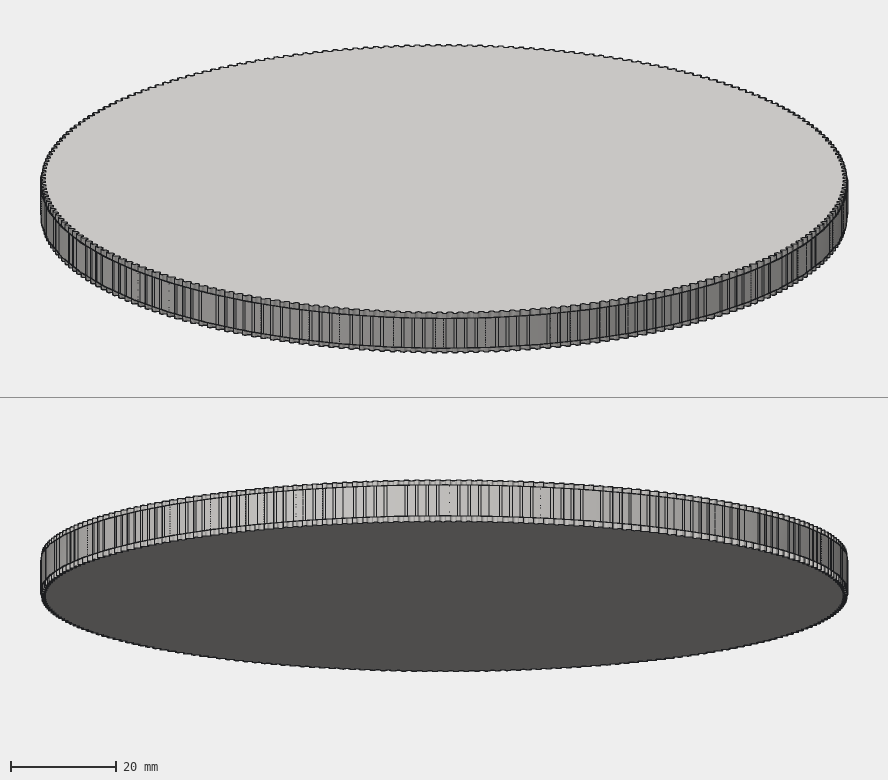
import cadquery as cq
import math

OUTER_DIAMETER = 153.5
HEIGHT = 8.0

BAND_THICKNESS = 0.26
BAND_INSET = 1.0

TOOTH_COUNT = 241
GROOVE_DEPTH = 0.75
FLOOR_RADIUS = 0.55
FLANK_RADIUS = 1.0
TIP_ROUND_RADIUS = 0.15
FIRST_GROOVE_ANGLE = -math.pi / 2

outer_radius = OUTER_DIAMETER / 2
tip_radius = outer_radius - BAND_THICKNESS
pitch_angle = 2 * math.pi / TOOTH_COUNT


def point_on_arc(center, radius, angle):
    return (center[0] + radius * math.cos(angle), center[1] + radius * math.sin(angle))


def half_groove_points():
    """(sideways, depth) points from the tip land to the groove floor: arc ends and arc middles in turn."""
    floor_center = (0, GROOVE_DEPTH - FLOOR_RADIUS)
    flank_center = (-math.sqrt((FLANK_RADIUS - FLOOR_RADIUS) ** 2 - floor_center[1] ** 2), 0)
    floor_angle = math.atan2(floor_center[1], -flank_center[0])
    tip_angle = math.asin(TIP_ROUND_RADIUS / (FLANK_RADIUS + TIP_ROUND_RADIUS))
    tip_center = point_on_arc(flank_center, FLANK_RADIUS + TIP_ROUND_RADIUS, tip_angle)
    tip_start = -math.pi / 2
    tip_end = tip_angle - math.pi
    return [
        point_on_arc(tip_center, TIP_ROUND_RADIUS, tip_start),
        point_on_arc(tip_center, TIP_ROUND_RADIUS, (tip_start + tip_end) / 2),
        point_on_arc(flank_center, FLANK_RADIUS, tip_angle),
        point_on_arc(flank_center, FLANK_RADIUS, (tip_angle + floor_angle) / 2),
        point_on_arc(flank_center, FLANK_RADIUS, floor_angle),
        (0, GROOVE_DEPTH),
    ]


def on_wheel(groove_angle, sideways, depth):
    """Place a groove point on the wheel, measuring its sideways distance along the tip circle."""
    angle = groove_angle + sideways / tip_radius
    return point_on_arc((0, 0), tip_radius - depth, angle)


def toothed_wheel():
    half_groove = half_groove_points()
    near_side = [(-sideways, depth) for sideways, depth in half_groove]
    far_side = half_groove[-2::-1]
    groove = near_side + far_side
    tooth_pitch = pitch_angle * tip_radius
    land = [(tooth_pitch / 2, 0), (tooth_pitch + groove[0][0], 0)]

    arcs = []
    for index in range(TOOTH_COUNT):
        angle = FIRST_GROOVE_ANGLE + index * pitch_angle
        points = [cq.Vector(*on_wheel(angle, *point)) for point in groove + land]
        for start, middle, end in zip(points[0::2], points[1::2], points[2::2]):
            arcs.append(cq.Edge.makeThreePointArc(start, middle, end))
    outline = cq.Wire.assembleEdges(arcs)
    wheel = cq.Solid.extrudeLinear(outline, [], cq.Vector(0, 0, HEIGHT))
    return cq.Workplane("XY").add(wheel)


def band():
    return (
        cq.Workplane("XY")
        .workplane(offset=BAND_INSET)
        .circle(outer_radius)
        .circle(tip_radius)
        .extrude(HEIGHT - 2 * BAND_INSET)
    )


result = toothed_wheel().union(band())